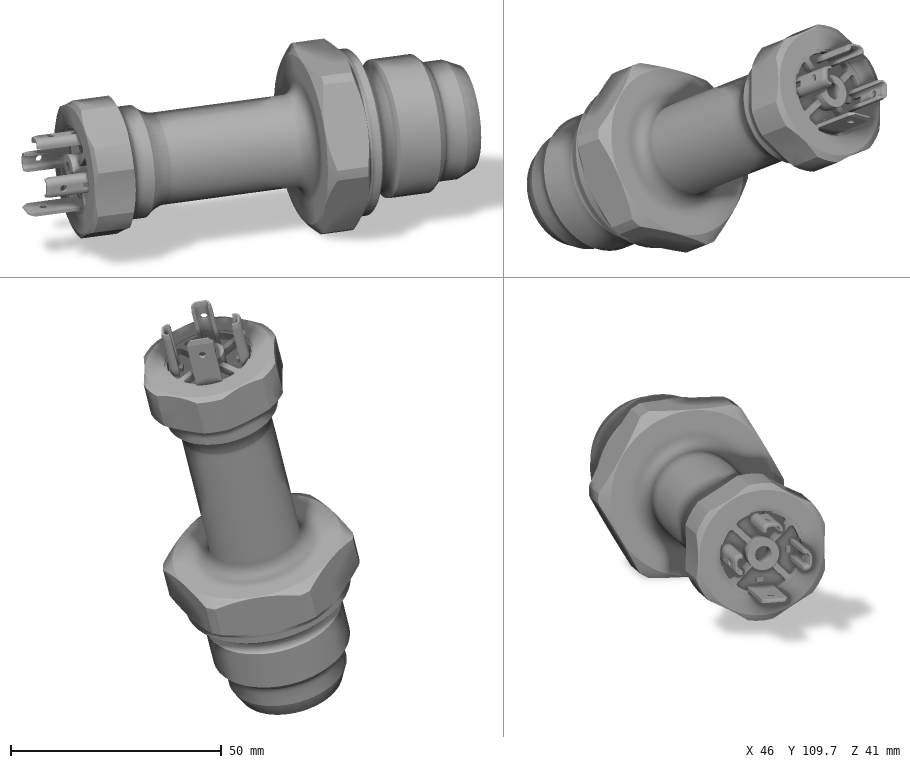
import cadquery as cq
import math


TOTAL_LENGTH = 109.7
CONTACT_REACH = 12.2
COUPLING_END = TOTAL_LENGTH - CONTACT_REACH
NOSE_TIP_DIA = 25.0
NOSE_DIA = 28.6
THREAD_DIA = 33.2
UNDERCUT_DIA = 29.2
NOSE_CONE_START = COUPLING_END - 4.1
NOSE_END = COUPLING_END - 9.1
THREAD_START = NOSE_END - (THREAD_DIA - NOSE_DIA) / 2
THREAD_END = COUPLING_END - 21.4
RUNOUT_LENGTH = 0.7
RUNOUT_DROP = 1.3
UNDERCUT_FILLET = 1.0

FLANGE_DIA = 40.0
FLANGE_START = COUPLING_END - 27.0
FLANGE_THICKNESS = 2.6
FLANGE_CHAMFER = 0.3
HEX_SIDES = 6
HEX_FLATS = 41.0
HEX_CORNER_DIA = 46.0
HEX_FACE_DIA = 40.7
HEX_SHOULDER = 0.5
HEX_TOP = FLANGE_START - FLANGE_THICKNESS - HEX_SHOULDER
HEX_BOTTOM = COUPLING_END - 40.9
HEX_CHAMFER_ANGLE = 30.0

STEM_DIA = 22.0
STEM_FILLET = 3.2
COLLAR_DIA = 27.0
FLARE_TOP = COUPLING_END - 77.1
FLARE_BOTTOM = COUPLING_END - 81.8
FLARE_RADIUS = 8.8

LOBE_DIA = 33.8
LOBE_FACE_DIA = 30.7
LOBE_COUNT = 6
LOBE_LENGTH = 10.3
LOBE_CHAMFER = 0.7
HOLLOW_HALF_WIDTH = 5.6
HOLLOW_DEPTH = 0.27

INSERT_DIA = 21.5
INSERT_SETBACK = 0.2
POCKET_FLOOR = 2.2
POCKET_RADIUS = 9.9
POCKET_CORNER = 0.8
SPOKE_WIDTH = 1.4
BOSS_DIA = 7.8
BOSS_HEIGHT = 1.5
BORE_DIA = 4.1
BORE_DEPTH = 4.4
PIN_NOTCH_WIDTH = 5.3
PIN_NOTCH_RADIUS = 10.2
NOTCH_DEPTH = 2.2
BLADE_NOTCH_WIDTH = 6.5
BLADE_NOTCH_RADIUS = 10.5

QUARTERS = 4
PIN_QUARTERS = (0, 1, 3)
BLADE_QUARTER = 2
PIN_WIDTH = 4.9
PIN_DEPTH = 2.2
PIN_OUTER = 9.7
PIN_WALL = 0.9
PIN_ROUND = 1.6
PIN_LENGTH = 10.0
PIN_TIP = 1.1
PIN_TIP_TAPER = 10.0
PIN_HOLE_REACH = 5.8
CONTACT_HOLE_DIA = 1.8
WINDOW_WIDTH = 1.5
WINDOW_REACH = 0.9
LANCE_INNER = 6.5
LANCE_THICKNESS = 1.0
LANCE_LENGTH = 1.1
BLADE_WIDTH = 6.3
BLADE_THICKNESS = 0.9
BLADE_OFFSET = 8.9
BLADE_TIP = 1.3
BLADE_TIP_CORNER = 0.93
BLADE_TIP_BEVEL = 0.27
BLADE_HOLE_REACH = 7.8
SEAT_DEPTH = 0.5
CONTACT_ROOT = POCKET_FLOOR + SEAT_DEPTH


ARC_MIDDLE = 1 - math.sqrt(0.5)


def section_at(y):
    """Workplane across the axis at height y, local axes X and Z, normal along -Y."""
    return cq.Workplane("XZ", origin=(0, y, 0))


def disc(y_low, y_high, diameter):
    return section_at(y_high).circle(diameter / 2).extrude(y_high - y_low)


def double_cone(y_low, y_high, face_dia, outer_dia, chamfer):
    """Round blank with a cone at both ends, used to turn the corners of a prism."""
    return (
        cq.Workplane("XY")
        .moveTo(0, y_low)
        .lineTo(face_dia / 2, y_low)
        .lineTo(outer_dia / 2, y_low + chamfer)
        .lineTo(outer_dia / 2, y_high - chamfer)
        .lineTo(face_dia / 2, y_high)
        .lineTo(0, y_high)
        .close()
        .revolve(360, (0, 0, 0), (0, 1, 0))
    )


def turned_body():
    flange_end = FLANGE_START - FLANGE_THICKNESS
    fillet_bulge = UNDERCUT_FILLET * ARC_MIDDLE
    stem_bulge = STEM_FILLET * ARC_MIDDLE
    undercut = UNDERCUT_DIA / 2
    stem = STEM_DIA / 2
    flange = FLANGE_DIA / 2
    runout_end = THREAD_END - RUNOUT_LENGTH
    return (
        cq.Workplane("XY")
        .moveTo(0, COUPLING_END)
        .lineTo(NOSE_TIP_DIA / 2, COUPLING_END)
        .lineTo(NOSE_DIA / 2, NOSE_CONE_START)
        .lineTo(NOSE_DIA / 2, NOSE_END)
        .lineTo(THREAD_DIA / 2, THREAD_START)
        .lineTo(THREAD_DIA / 2, THREAD_END)
        .lineTo(THREAD_DIA / 2 - RUNOUT_DROP, runout_end)
        .tangentArcPoint((undercut, runout_end - UNDERCUT_FILLET), relative=False)
        .lineTo(undercut, FLANGE_START + UNDERCUT_FILLET)
        .threePointArc(
            (undercut + fillet_bulge, FLANGE_START + fillet_bulge),
            (undercut + UNDERCUT_FILLET, FLANGE_START),
        )
        .lineTo(flange - FLANGE_CHAMFER, FLANGE_START)
        .lineTo(flange, FLANGE_START - FLANGE_CHAMFER)
        .lineTo(flange, flange_end)
        .lineTo(HEX_FACE_DIA / 2, flange_end)
        .lineTo(HEX_FACE_DIA / 2, HEX_BOTTOM)
        .lineTo(stem + STEM_FILLET, HEX_BOTTOM)
        .threePointArc(
            (stem + stem_bulge, HEX_BOTTOM - stem_bulge),
            (stem, HEX_BOTTOM - STEM_FILLET),
        )
        .lineTo(stem, FLARE_TOP)
        .radiusArc((COLLAR_DIA / 2, FLARE_BOTTOM), -FLARE_RADIUS)
        .lineTo(COLLAR_DIA / 2, LOBE_LENGTH / 2)
        .lineTo(0, LOBE_LENGTH / 2)
        .close()
        .revolve(360, (0, 0, 0), (0, 1, 0))
    )


def hexagon():
    corner_dia = HEX_FLATS / math.cos(math.pi / HEX_SIDES)
    prism = section_at(HEX_TOP).polygon(HEX_SIDES, corner_dia).extrude(HEX_TOP - HEX_BOTTOM)
    chamfer = (HEX_CORNER_DIA - HEX_FACE_DIA) / 2 * math.tan(math.radians(HEX_CHAMFER_ANGLE))
    return prism.intersect(double_cone(HEX_BOTTOM, HEX_TOP, HEX_FACE_DIA, HEX_CORNER_DIA, chamfer))


def lobed_collar():
    collar = double_cone(0, LOBE_LENGTH, LOBE_FACE_DIA, LOBE_DIA, LOBE_CHAMFER)
    edge = math.sqrt((LOBE_DIA / 2) ** 2 - HOLLOW_HALF_WIDTH ** 2)
    hollow = (
        section_at(LOBE_LENGTH)
        .moveTo(edge, -HOLLOW_HALF_WIDTH)
        .threePointArc((edge - HOLLOW_DEPTH, 0), (edge, HOLLOW_HALF_WIDTH))
        .lineTo(LOBE_DIA, HOLLOW_HALF_WIDTH)
        .lineTo(LOBE_DIA, -HOLLOW_HALF_WIDTH)
        .close()
        .extrude(LOBE_LENGTH)
    )
    for i in range(LOBE_COUNT):
        collar = collar.cut(hollow.rotate((0, 0, 0), (0, 1, 0), i * 360 / LOBE_COUNT))
    return collar


def around_axis(solid, quarter):
    """Turn a solid built on the +Z side to one of the four quarter positions."""
    return solid.rotate((0, 0, 0), (0, 1, 0), quarter * 360 / QUARTERS)


def notch(width, radius):
    """Relief behind a contact, on the +Z side, bounded by an arc around the axis."""
    block = (
        section_at(POCKET_FLOOR)
        .center(0, POCKET_RADIUS)
        .rect(width, NOTCH_DEPTH)
        .extrude(POCKET_FLOOR)
    )
    return block.intersect(disc(0, POCKET_FLOOR, 2 * radius))


def quarter_pocket():
    """Sector pocket on the +Z side between two spokes."""
    reach = 2 * POCKET_RADIUS
    apex = SPOKE_WIDTH / math.sqrt(2)
    wedge = (
        section_at(POCKET_FLOOR)
        .polyline([(0, apex), (reach, apex + reach), (-reach, apex + reach)])
        .close()
        .extrude(POCKET_FLOOR)
    )
    sector = wedge.intersect(disc(0, POCKET_FLOOR, 2 * POCKET_RADIUS))
    return sector.edges("|Y and (>X or <X)").fillet(POCKET_CORNER)


def lance():
    """Small locking tongue standing on the pocket floor of the +Z side."""
    middle = LANCE_INNER + LANCE_THICKNESS / 2
    return (
        section_at(CONTACT_ROOT)
        .center(0, middle)
        .rect(WINDOW_WIDTH, LANCE_THICKNESS)
        .extrude(CONTACT_ROOT - POCKET_FLOOR + LANCE_LENGTH)
    )


def rounded_bar(y_low, y_high, width, r_low, r_high, rounding):
    """Bar along the axis on the +Z side, its two corners away from the axis rounded."""
    return (
        section_at(y_high)
        .center(0, (r_low + r_high) / 2)
        .rect(width, r_high - r_low)
        .extrude(y_high - y_low)
        .edges("|Y and >Z")
        .fillet(rounding)
    )


def channel_pin():
    """Rolled channel contact on the +Z side, open towards the axis."""
    leg_end = PIN_OUTER - PIN_DEPTH
    shaft_end = PIN_TIP - PIN_LENGTH
    outer = rounded_bar(shaft_end, CONTACT_ROOT, PIN_WIDTH, leg_end, PIN_OUTER, PIN_ROUND)
    inner = rounded_bar(
        shaft_end,
        CONTACT_ROOT,
        PIN_WIDTH - 2 * PIN_WALL,
        leg_end,
        PIN_OUTER - PIN_WALL,
        PIN_ROUND - PIN_WALL,
    )
    pin = outer.cut(inner)
    pin = pin.faces("<Y").wires().toPending().extrude(PIN_TIP, taper=PIN_TIP_TAPER)
    hole = (
        cq.Workplane("XY", origin=(0, -PIN_HOLE_REACH, leg_end))
        .circle(CONTACT_HOLE_DIA / 2)
        .extrude(PIN_DEPTH)
    )
    window = (
        section_at(POCKET_FLOOR)
        .center(0, PIN_OUTER - PIN_DEPTH / 2)
        .rect(WINDOW_WIDTH, PIN_DEPTH)
        .extrude(POCKET_FLOOR + WINDOW_REACH)
    )
    return pin.cut(hole).cut(window)


def flat_blade():
    """Flat contact on the -Z side with a pointed, bevelled tip."""
    half_width = BLADE_WIDTH / 2
    half_thickness = BLADE_THICKNESS / 2
    bevel_start = -CONTACT_REACH + BLADE_TIP

    def pointed(plane, half, inset):
        return (
            cq.Workplane(plane)
            .moveTo(-half, CONTACT_ROOT)
            .lineTo(-half, bevel_start)
            .lineTo(-half + inset, -CONTACT_REACH)
            .lineTo(half - inset, -CONTACT_REACH)
            .lineTo(half, bevel_start)
            .lineTo(half, CONTACT_ROOT)
            .close()
        )

    plan = pointed("XY", half_width, BLADE_TIP_CORNER).extrude(half_thickness, both=True)
    side = pointed("ZY", half_thickness, BLADE_TIP_BEVEL).extrude(half_width, both=True)
    hole = (
        cq.Workplane("XY")
        .center(0, -BLADE_HOLE_REACH)
        .circle(CONTACT_HOLE_DIA / 2)
        .extrude(BLADE_THICKNESS, both=True)
    )
    return plan.intersect(side).cut(hole).translate((0, 0, -BLADE_OFFSET))


result = turned_body().union(hexagon()).union(lobed_collar())

result = result.cut(disc(0, INSERT_SETBACK, INSERT_DIA))
for quarter in range(QUARTERS):
    result = result.cut(around_axis(quarter_pocket(), quarter))
for quarter in PIN_QUARTERS:
    result = result.cut(around_axis(notch(PIN_NOTCH_WIDTH, PIN_NOTCH_RADIUS), quarter))
result = result.cut(around_axis(notch(BLADE_NOTCH_WIDTH, BLADE_NOTCH_RADIUS), BLADE_QUARTER))

result = result.union(disc(-BOSS_HEIGHT, CONTACT_ROOT, BOSS_DIA))
result = result.cut(disc(-BOSS_HEIGHT, BORE_DEPTH - BOSS_HEIGHT, BORE_DIA))

for quarter in range(QUARTERS):
    result = result.union(around_axis(lance(), quarter))
for quarter in PIN_QUARTERS:
    result = result.union(around_axis(channel_pin(), quarter))
result = result.union(flat_blade())